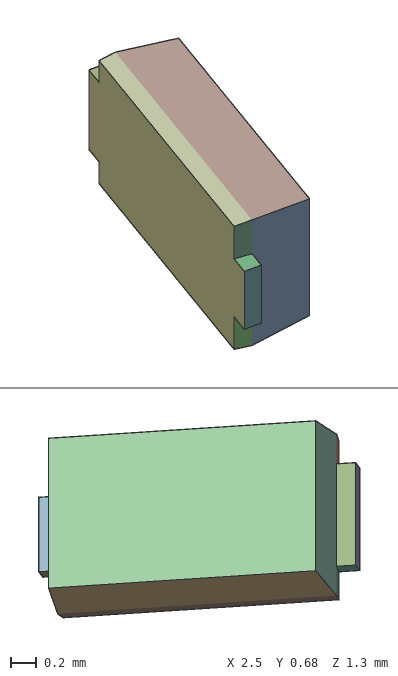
import cadquery as cq

overall_length = 2.5
overall_depth = 0.68
body_length = 2.2
body_height = 1.3
draft_angle = 5.0

terminal_thickness = 0.15
large_terminal_length = 1.3
large_terminal_height = 0.825
small_terminal_length = 0.6
small_terminal_height = 0.6

front_y = -overall_depth / 2
parting_y = front_y + terminal_thickness
back_depth = overall_depth - terminal_thickness


def tapered_half(normal, depth):
    """Half of the body, narrowing away from the parting plane along the normal."""
    plane = cq.Plane(origin=(0, parting_y, 0), xDir=(1, 0, 0), normal=normal)
    return cq.Workplane(plane).rect(body_length, body_height).extrude(depth, taper=draft_angle)


def terminal(start_x, length, height):
    """Rectangular plate from start_x towards +X, centred on Z."""
    plate = cq.Workplane("XY").box(length, terminal_thickness, height, centered=(False, False, True))
    return plate.translate((start_x, front_y, 0))


back_half = tapered_half((0, 1, 0), back_depth)
front_half = tapered_half((0, -1, 0), terminal_thickness)
body = back_half.union(front_half)

large_terminal = terminal(-overall_length / 2, large_terminal_length, large_terminal_height)
small_terminal = terminal(
    overall_length / 2 - small_terminal_length, small_terminal_length, small_terminal_height
)

result = body.union(large_terminal).union(small_terminal)